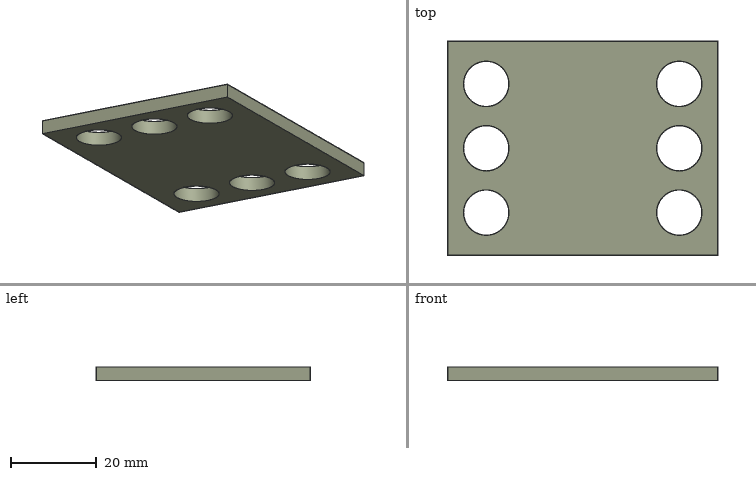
import cadquery as cq

plate_length = 63.0
plate_width = 50.0
plate_thickness = 3.2

hole_diameter = 10.5
hole_columns = 2
hole_rows = 3
column_spacing = 45.0
row_spacing = 15.0


def make_plate():
    """Solid plate with its underside on Z = 0."""
    return cq.Workplane("XY").box(
        plate_length, plate_width, plate_thickness, centered=(True, True, False)
    )


def drill_holes(plate):
    """Drill the centred grid of holes through the full thickness."""
    return (
        plate.faces(">Z")
        .workplane(origin=(0, 0, plate_thickness))
        .rarray(column_spacing, row_spacing, hole_columns, hole_rows)
        .hole(hole_diameter)
    )


result = drill_holes(make_plate())